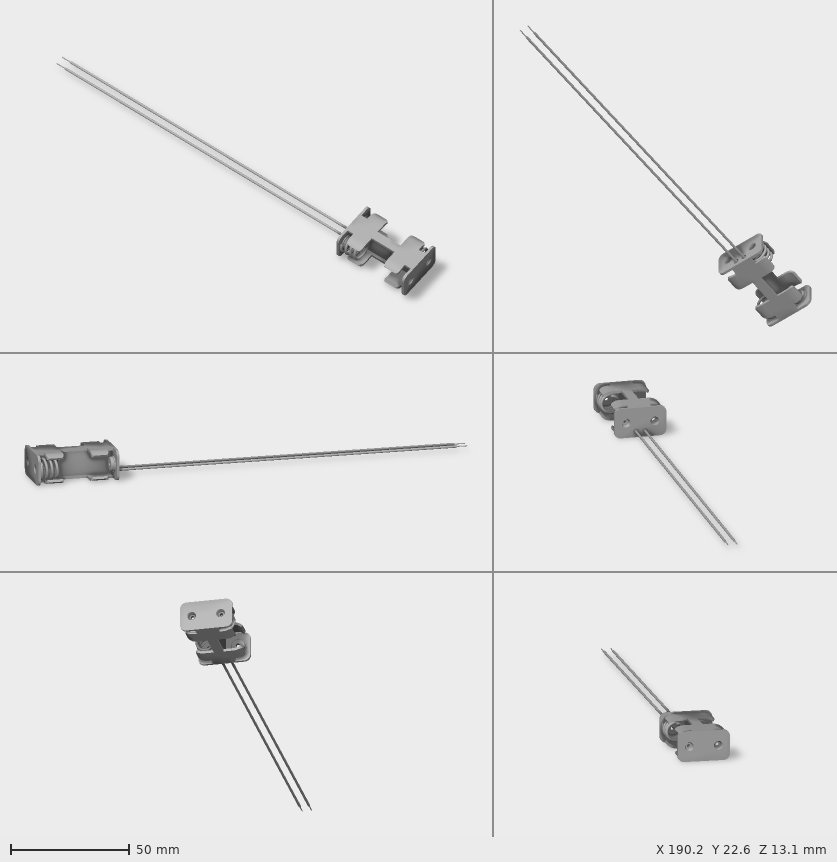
import cadquery as cq
import math


TOTAL_LENGTH = 190.2
HOLDER_LENGTH = 35.5
HOLDER_WIDTH = 22.6
HOLDER_HEIGHT = 13.1
HALF_HEIGHT = HOLDER_HEIGHT / 2

PLATE_THICKNESS = 1.1
PLATE_CORNER_RADIUS = 2.7

CELL_OFFSET = 6.3
SHELL_THICKNESS = 1.1
SHELL_INNER_RADIUS = HALF_HEIGHT - SHELL_THICKNESS
TAB_REACH = 10.3
TAB_START = 4.2
TAB_LENGTH = 7.6
TAB_CORNER_RADIUS = 1.7
SHELL_END_HALF_WIDTH = 5.0
NECK_HALF_WIDTH = 2.0
WEB_THICKNESS = 1.5

EYELET_RADIUS = 3.5
EYELET_FLANGE_HEIGHT = 0.5
EYELET_HEAD_RADIUS = 3.0
EYELET_HEAD_HEIGHT = 1.3
EYELET_HEAD_FILLET = 0.5
EYELET_MOUTH_RADIUS = 1.9
EYELET_MOUTH_FLOOR_RADIUS = 1.3
EYELET_BORE_RADIUS = 0.8

SPRING_WIRE_RADIUS = 0.5
SPRING_BASE_RADIUS = 4.2
SPRING_TIP_RADIUS = 3.8
SPRING_LENGTH = 9.9
SPRING_PITCH = 2.3

WIRE_SPACING = 4.0
WIRE_HEIGHT = -4.0
INSULATION_RADIUS = 0.53
CONDUCTOR_RADIUS = 0.23
STRIPPED_LENGTH = 4.5
WIRE_RECESS_RADIUS = 1.24
WIRE_RECESS_DEPTH = 0.5

WIRE_TIP_X = HOLDER_LENGTH - TOTAL_LENGTH
HOLDER_MIDDLE = cq.Vector(HOLDER_LENGTH / 2, 0, 0)
SIDES = (-1, 1)


def x_cylinder(radius, start, length, y, z):
    """A cylinder along +X from the given start."""
    return cq.Workplane("YZ", origin=(start, y, z)).circle(radius).extrude(length)


def at_far_end(body):
    """The body turned half a turn about the vertical axis through the holder's middle."""
    return body.rotate(HOLDER_MIDDLE, HOLDER_MIDDLE + cq.Vector(0, 0, 1.9), 180)


def both_ends(body):
    return [body, at_far_end(body)]



def end_plate():
    return (
        cq.Workplane("YZ")
        .rect(HOLDER_WIDTH, HOLDER_HEIGHT)
        .extrude(PLATE_THICKNESS)
        .edges("|X")
        .fillet(PLATE_CORNER_RADIUS)
    )


def shell_section():
    """Flat top with an arc concentric with each cell bending down at both sides."""
    tab_angle = math.asin((TAB_REACH - CELL_OFFSET) / HALF_HEIGHT)

    def arc_point(side, radius, angle):
        return side * (CELL_OFFSET + radius * math.sin(angle)), radius * math.cos(angle)

    def outer(side, angle):
        return arc_point(side, HALF_HEIGHT, angle)

    def inner(side, angle):
        return arc_point(side, SHELL_INNER_RADIUS, angle)

    return (
        cq.Workplane("YZ")
        .moveTo(*outer(-1, 0))
        .lineTo(*outer(1, 0))
        .threePointArc(outer(1, tab_angle / 2), outer(1, tab_angle))
        .lineTo(*inner(1, tab_angle))
        .threePointArc(inner(1, tab_angle / 2), inner(1, 0))
        .lineTo(*inner(-1, 0))
        .threePointArc(inner(-1, tab_angle / 2), inner(-1, tab_angle))
        .lineTo(*outer(-1, tab_angle))
        .threePointArc(outer(-1, tab_angle / 2), outer(-1, 0))
        .close()
        .extrude(HOLDER_LENGTH)
    )


def shell_plan():
    """Plan of a shell: a narrow neck, wider ends and four tabs with rounded outer corners."""
    tab_end = TAB_START + TAB_LENGTH
    tab_middle = TAB_START + TAB_LENGTH / 2
    from_end_face = (False, True, False)
    neck = cq.Workplane("XY").box(HOLDER_LENGTH, 2 * NECK_HALF_WIDTH, HALF_HEIGHT, centered=from_end_face)
    end = cq.Workplane("XY").box(tab_end, 2 * SHELL_END_HALF_WIDTH, HALF_HEIGHT, centered=from_end_face)
    tabs = (
        cq.Workplane("XY")
        .center(tab_middle, 0)
        .rect(TAB_LENGTH, 2 * TAB_REACH)
        .extrude(HALF_HEIGHT)
        .edges("|Z")
        .fillet(TAB_CORNER_RADIUS)
    )
    plan = neck
    for wide_end in both_ends(end.union(tabs)):
        plan = plan.union(wide_end)
    return plan


def make_housing():
    housing = cq.Workplane("XY").box(
        HOLDER_LENGTH, WEB_THICKNESS, HOLDER_HEIGHT, centered=(False, True, True)
    )
    shell = shell_section().intersect(shell_plan())
    housing = housing.union(shell).union(shell.mirror("XY"))
    for plate in both_ends(end_plate()):
        housing = housing.union(plate)
    for side in SIDES:
        y = side * CELL_OFFSET
        eyelet_hole = x_cylinder(EYELET_RADIUS, 0, PLATE_THICKNESS, y, 0)
        for cutter in both_ends(eyelet_hole):
            housing = housing.cut(cutter)
        wire_y = side * WIRE_SPACING / 2
        recess = x_cylinder(WIRE_RECESS_RADIUS, 0, WIRE_RECESS_DEPTH, wire_y, WIRE_HEIGHT)
        wire_hole = x_cylinder(INSULATION_RADIUS, 0, PLATE_THICKNESS, wire_y, WIRE_HEIGHT)
        housing = housing.cut(recess).cut(wire_hole)
    return housing



def make_eyelet(side):
    """A hollow stud flush with the outer face, with a rounded head inside and a tapered mouth."""
    y = side * CELL_OFFSET
    head_start = PLATE_THICKNESS + EYELET_FLANGE_HEIGHT
    head = x_cylinder(EYELET_HEAD_RADIUS, head_start, EYELET_HEAD_HEIGHT, y, 0)
    head = head.faces(">X").edges().fillet(EYELET_HEAD_FILLET)
    base = x_cylinder(EYELET_RADIUS, 0, head_start, y, 0)
    mouth = cq.Solid.makeCone(
        EYELET_MOUTH_RADIUS, EYELET_MOUTH_FLOOR_RADIUS, head_start, cq.Vector(0, y, 0), cq.Vector(1, 0, 0)
    )
    bore = x_cylinder(EYELET_BORE_RADIUS, 0, head_start + EYELET_HEAD_HEIGHT, y, 0)
    return base.union(head).cut(mouth).cut(bore)



def make_spring():
    """A slightly tapered coil around the -Y eyelet, its base resting on the end plate."""
    rise = SPRING_LENGTH - 2 * SPRING_WIRE_RADIUS
    taper = math.degrees(math.atan((SPRING_BASE_RADIUS - SPRING_TIP_RADIUS) / rise))
    path = cq.Wire.makeHelix(SPRING_PITCH, rise, SPRING_TIP_RADIUS, angle=taper)
    coil = (
        cq.Workplane("XZ")
        .center(SPRING_TIP_RADIUS, 0)
        .circle(SPRING_WIRE_RADIUS)
        .sweep(cq.Workplane(path), isFrenet=True)
    )
    tip_x = PLATE_THICKNESS + SPRING_LENGTH - SPRING_WIRE_RADIUS
    return coil.rotate((0, 0, 0), (0, 1, 0), -90).translate((tip_x, -CELL_OFFSET, 0))



def make_wire(side):
    """An insulated lead ending at the plate's inner face, with a bare conductor at its free end."""
    y = side * WIRE_SPACING / 2
    insulation_start = WIRE_TIP_X + STRIPPED_LENGTH
    insulation_length = PLATE_THICKNESS - insulation_start
    conductor = x_cylinder(CONDUCTOR_RADIUS, WIRE_TIP_X, STRIPPED_LENGTH, y, WIRE_HEIGHT)
    insulation = x_cylinder(INSULATION_RADIUS, insulation_start, insulation_length, y, WIRE_HEIGHT)
    return conductor.union(insulation)


housing = make_housing()
eyelets = []
for side in SIDES:
    eyelets += both_ends(make_eyelet(side))
springs = both_ends(make_spring())
wires = [make_wire(side) for side in SIDES]

result = cq.Compound.makeCompound(
    [housing.val()] + [body.val() for body in eyelets + springs + wires]
)